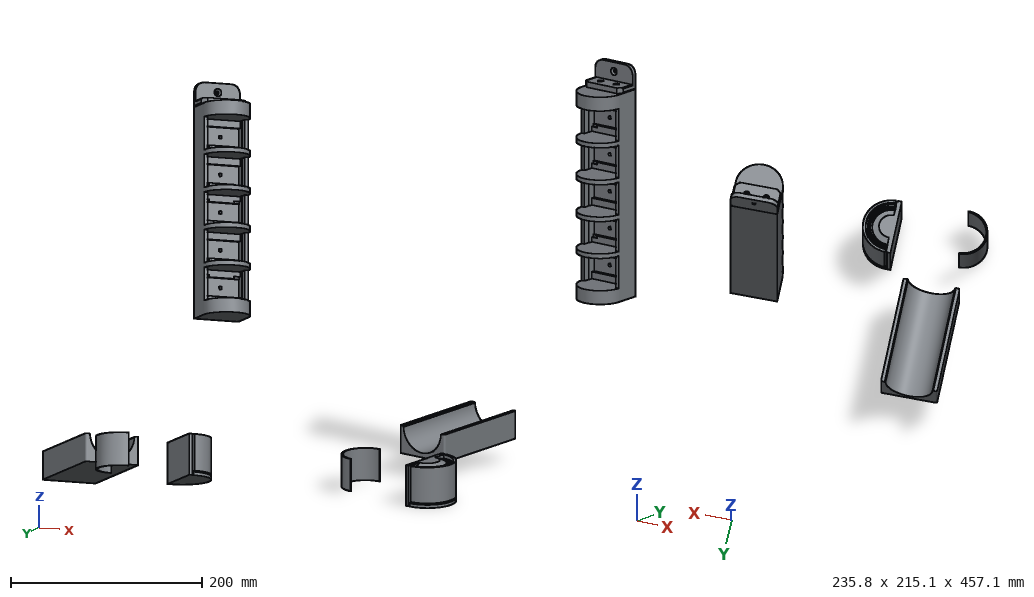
import cadquery as cq

tube_radius = 25.0
window_thickness = 1.5
window_height = 35.0
window_inner_radius = tube_radius - window_thickness

tower_width = 2 * tube_radius
tower_box_depth = 28.0
compartment_count = 5
compartment_height = window_height
shelf_thickness = 5.0
end_thickness = 15.0
compartment_pitch = compartment_height + shelf_thickness
tower_height = (2 * end_thickness + compartment_count * compartment_height
                + (compartment_count - 1) * shelf_thickness)
tower_back_y = -1.4
tower_front_y = tower_back_y - tower_box_depth

mouth_width = 42.0
mouth_depth = 7.0
cavity_width = 41.0
back_wall = 16.0
panel_height = 20.0
panel_depth = 4.0
notch_width = 6.5
notch_height = 2.5
notch_depth = 2.0
upper_notch_compartments = (0, 2)
pilot_hole_diameter = 3.3
pilot_hole_depth = 8.0

bracket_height = 26.0
bracket_plate = 5.0
bracket_corner_radius = 10.0
foot_depth = 25.5
foot_thickness = 6.0
foot_corner_chamfer = 5.0
bracket_edge_chamfer = 1.0
screw_diameter = 3.5
hanger_hole_drop = 10.0
hanger_sink_diameter = 8.0
hanger_sink_depth = 2.25
foot_hole_spacing = 21.0
foot_hole_setback = 14.0
foot_bore_diameter = 6.0
foot_bore_depth = 3.0

trough_width = 60.0
trough_length = 120.0
trough_height = 30.0
trough_corner_radius = 2.0
trough_rim_chamfer = 1.0
trough_position = (-165.7, -trough_length / 2, -182.25)

window_position = (-185.8, -190.05, -201.55)

jig_radius = 30.0
jig_wall = 5.0
jig_height = 44.0
jig_edge_chamfer = 1.5
core_top = jig_wall + window_height
shoulder_radius = 22.0
shoulder_height = 1.0
cap_base_radius = 20.0
cap_top_radius = 13.0
shell_rim_radius = 27.0
jig_position = (-110.7, -180.0, -206.07)


def block(width, depth, height, center_x, back_y, bottom_z):
    """Box centred in X, reaching from back_y toward -Y and from bottom_z upward."""
    solid = cq.Workplane("XY").box(width, depth, height, centered=(True, False, False))
    return solid.translate((center_x, back_y - depth, bottom_z))


def half_disc(radius, height, bottom_z=0.0):
    """Half cylinder on the +X side of the Z axis."""
    profile = cq.Workplane("XY").workplane(offset=bottom_z)
    profile = profile.moveTo(0, -radius).threePointArc((radius, 0), (0, radius)).close()
    return profile.extrude(height)


def half_ring(outer_radius, inner_radius, height, bottom_z=0.0):
    return half_disc(outer_radius, height, bottom_z).cut(half_disc(inner_radius, height, bottom_z))


def cut_compartment(body, index):
    """Open one compartment, with its stepped cavity, panel, notches and pilot hole."""
    bottom = end_thickness + index * compartment_pitch
    middle = bottom + compartment_height / 2
    cavity_front = tower_back_y - back_wall
    panel_back = cavity_front + panel_depth

    body = body.cut(block(tower_width, tube_radius, compartment_height, 0, tower_front_y, bottom))
    mouth_back = tower_front_y + mouth_depth
    body = body.cut(block(mouth_width, mouth_depth, compartment_height, 0, mouth_back, bottom))
    cavity_depth = tower_box_depth - back_wall
    body = body.cut(block(cavity_width, cavity_depth, compartment_height, 0, cavity_front, bottom))
    panel_bottom = middle - panel_height / 2
    body = body.cut(block(cavity_width, panel_depth, panel_height, 0, panel_back, panel_bottom))

    if index in upper_notch_compartments:
        notch_bottom = panel_bottom + panel_height
    else:
        notch_bottom = panel_bottom - notch_height
    notch_offset = (cavity_width - notch_width) / 2
    for notch_x in (-notch_offset, notch_offset):
        notch_back = cavity_front + notch_depth
        body = body.cut(block(notch_width, notch_depth, notch_height, notch_x, notch_back, notch_bottom))

    hole = cq.Workplane("XZ", origin=(0, panel_back, middle)).circle(pilot_hole_diameter / 2)
    return body.cut(hole.extrude(-pilot_hole_depth))


def foot_hole_points():
    hole_y = tower_back_y - foot_hole_setback
    return [(side * foot_hole_spacing / 2, hole_y) for side in (-1, 1)]


def make_tower():
    body = block(tower_width, tower_box_depth, tower_height, 0, tower_back_y, 0)
    front = cq.Workplane("XY").center(0, tower_front_y).circle(tube_radius).extrude(tower_height)
    body = body.union(front)
    for index in range(compartment_count):
        body = cut_compartment(body, index)
    pilots = cq.Workplane("XY").workplane(offset=tower_height).pushPoints(foot_hole_points())
    return body.cut(pilots.circle(pilot_hole_diameter / 2).extrude(-pilot_hole_depth))


def make_bracket():
    plate = block(tower_width, bracket_plate, bracket_height, 0, tower_back_y, tower_height)
    plate = plate.edges("|Y and >Z").fillet(bracket_corner_radius)
    foot = block(tower_width, foot_depth, foot_thickness, 0, tower_back_y, tower_height)
    foot = foot.edges("|Z and <Y").chamfer(foot_corner_chamfer)
    foot = foot.edges("|Y and >Z").chamfer(bracket_edge_chamfer)
    body = plate.union(foot).edges("|Y and <Z").chamfer(bracket_edge_chamfer)

    hole_z = tower_height + bracket_height - hanger_hole_drop
    plate_front = cq.Workplane("XZ", origin=(0, tower_back_y - bracket_plate, hole_z))
    body = body.cut(plate_front.circle(screw_diameter / 2).extrude(-bracket_plate))
    sink = plate_front.circle(hanger_sink_diameter / 2).workplane(offset=-hanger_sink_depth)
    body = body.cut(sink.circle(screw_diameter / 2).loft())

    foot_top = cq.Workplane("XY").workplane(offset=tower_height + foot_thickness)
    foot_top = foot_top.pushPoints(foot_hole_points())
    body = body.cut(foot_top.circle(screw_diameter / 2).extrude(-foot_thickness))
    return body.cut(foot_top.circle(foot_bore_diameter / 2).extrude(-foot_bore_depth))


def make_trough():
    body = cq.Workplane("XY").box(trough_width, trough_length, trough_height, centered=(True, True, False))
    body = body.edges("|Z").fillet(trough_corner_radius)
    channel = cq.Workplane("XZ", origin=(0, trough_length / 2, trough_height)).circle(tube_radius)
    body = body.cut(channel.extrude(trough_length))

    rim_outer = tube_radius + trough_rim_chamfer
    bevel = (
        cq.Workplane("XZ", origin=(0, trough_length / 2, trough_height))
        .polyline([(-rim_outer, 0), (rim_outer, 0), (tube_radius, -trough_rim_chamfer),
                   (-tube_radius, -trough_rim_chamfer)])
        .close()
        .extrude(trough_length)
    )
    return body.cut(bevel).translate(trough_position)


def make_loose_window():
    ring = half_ring(tube_radius, window_inner_radius, window_height)
    return ring.mirror("YZ").translate(window_position)


def make_held_window():
    ring = half_ring(tube_radius, window_inner_radius, window_height, jig_wall)
    return ring.translate(jig_position)


def make_jig_base():
    plate = cq.Workplane("XY").box(jig_wall, 2 * jig_radius, jig_height, centered=(False, True, False))
    plate = plate.translate((-jig_wall, 0, 0)).edges("|Z and >X").chamfer(jig_edge_chamfer)
    floor = half_disc(jig_radius, jig_wall).faces(">Z").edges("%CIRCLE").chamfer(jig_edge_chamfer)
    core = half_disc(window_inner_radius, core_top)
    shoulder = half_disc(shoulder_radius, shoulder_height, core_top)

    cap_bottom = core_top + shoulder_height
    cap_height = jig_height - cap_bottom
    cone = cq.Solid.makeCone(cap_base_radius, cap_top_radius, cap_height, pnt=cq.Vector(0, 0, cap_bottom))
    cap = half_disc(cap_base_radius, cap_height, cap_bottom).intersect(cq.Workplane(cone))

    return plate.union(floor).union(core).union(shoulder).union(cap).translate(jig_position)


def make_jig_shell():
    body = half_disc(jig_radius, jig_height - jig_wall, jig_wall)
    body = body.edges("|Z").chamfer(jig_edge_chamfer)
    body = body.cut(half_disc(tube_radius, window_height, jig_wall))
    body = body.cut(half_disc(shell_rim_radius, jig_height - core_top, core_top))
    return body.translate(jig_position)


tower = make_tower()
bracket = make_bracket()
trough = make_trough()
loose_window = make_loose_window()
held_window = make_held_window()
jig_base = make_jig_base()
jig_shell = make_jig_shell()

result = cq.Compound.makeCompound([
    tower.solids().val(),
    bracket.solids().val(),
    trough.solids().val(),
    loose_window.solids().val(),
    held_window.solids().val(),
    jig_base.solids().val(),
    jig_shell.solids().val(),
])